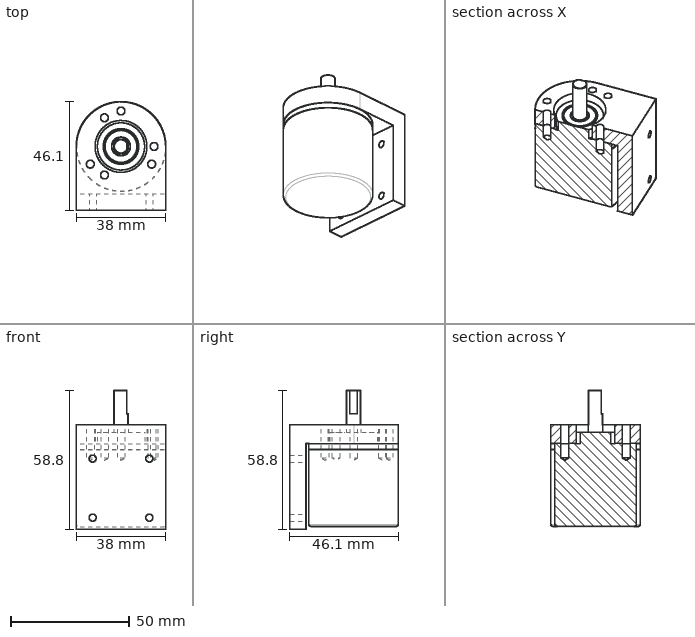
import cadquery as cq
import math

WIDTH = 38.0
END_RADIUS = WIDTH / 2
AXIS_TO_FRONT = 27.05
BRACKET_HEIGHT = 44.35
PLATE_THICKNESS = 8.0
WALL_THICKNESS = 7.0
BORE_RADIUS = 11.0

WALL_HOLE_DIAMETER = 3.0
WALL_HOLE_SPACING_X = 24.0
WALL_HOLE_LOW_Z = 5.0
WALL_HOLE_SPACING_Z = 25.0

MOUNT_HOLE_DIAMETER = 3.3
MOUNT_HOLE_DEPTH = 6.0
DRILL_POINT_ANGLE = 118
MOUNT_PATTERNS = [
    (14.0, 0),
    (15.0, 90),
]
HOLES_PER_PATTERN = 3

MOTOR_RADIUS = END_RADIUS
MOTOR_BOTTOM_Z = 1.25
MOTOR_TOP_Z = BRACKET_HEIGHT - PLATE_THICKNESS
MOTOR_BOTTOM_FILLET = 1.0
EDGE_CHAMFER = 0.2
FLANGE_THICKNESS = 2.45
BOSS_RADIUS = 10.0
BOSS_HEIGHT = 4.9
BOSS_TOP_Z = MOTOR_TOP_Z + BOSS_HEIGHT

GROOVE_DEPTH = 0.1
OUTER_GROOVE_RADII = (6.75, 7.5)
SHAFT_GROOVE_RADII = (3.0, 4.0)

SHAFT_RADIUS = 3.0
SHAFT_TOP_Z = 58.8
SHAFT_CHAMFER = 0.2
FLAT_X = 2.5
FLAT_LENGTH = 9.9


def cylinder(radius, bottom_z, top_z):
    return cq.Workplane("XY", origin=(0, 0, bottom_z)).circle(radius).extrude(top_z - bottom_z)


def mount_holes():
    """Blind drilled holes with conical ends, starting at the top of the plate."""
    radius = MOUNT_HOLE_DIAMETER / 2
    bottom_z = MOTOR_TOP_Z - MOUNT_HOLE_DEPTH
    tip_z = bottom_z - radius / math.tan(math.radians(DRILL_POINT_ANGLE / 2))
    drill = (
        cq.Workplane("XZ")
        .polyline([(0, tip_z), (radius, bottom_z), (radius, BRACKET_HEIGHT), (0, BRACKET_HEIGHT)])
        .close()
        .revolve(360, (0, 0, 0), (0, 1, 0))
    )
    holes = cq.Workplane("XY")
    for pitch_radius, first_angle in MOUNT_PATTERNS:
        for index in range(HOLES_PER_PATTERN):
            angle = math.radians(first_angle + index * 360 / HOLES_PER_PATTERN)
            place = (pitch_radius * math.cos(angle), pitch_radius * math.sin(angle), 0)
            holes = holes.add(drill.translate(place))
    return holes.combine()


def make_bracket():
    plate = (
        cq.Workplane("XY", origin=(0, 0, MOTOR_TOP_Z))
        .moveTo(-END_RADIUS, -AXIS_TO_FRONT)
        .lineTo(END_RADIUS, -AXIS_TO_FRONT)
        .lineTo(END_RADIUS, 0)
        .threePointArc((0, END_RADIUS), (-END_RADIUS, 0))
        .close()
        .extrude(PLATE_THICKNESS)
    )
    wall = cq.Workplane("XY").box(WIDTH, WALL_THICKNESS, BRACKET_HEIGHT, centered=(True, False, False))
    bracket = plate.union(wall.translate((0, -AXIS_TO_FRONT, 0)))

    wall_holes = (
        cq.Workplane("XZ", origin=(0, -AXIS_TO_FRONT, WALL_HOLE_LOW_Z + WALL_HOLE_SPACING_Z / 2))
        .rarray(WALL_HOLE_SPACING_X, WALL_HOLE_SPACING_Z, 2, 2)
        .circle(WALL_HOLE_DIAMETER / 2)
        .extrude(-WALL_THICKNESS)
    )
    bore = cylinder(BORE_RADIUS, MOTOR_TOP_Z, BRACKET_HEIGHT)
    return bracket.cut(wall_holes).cut(bore).cut(mount_holes())


def ring_groove(radii):
    """Shallow ring with walls sloped at 45 degrees, widest at the top of the boss."""
    inner, outer = radii
    floor_z = BOSS_TOP_Z - GROOVE_DEPTH
    return (
        cq.Workplane("XZ")
        .moveTo(inner, BOSS_TOP_Z)
        .lineTo(outer, BOSS_TOP_Z)
        .lineTo(outer - GROOVE_DEPTH, floor_z)
        .lineTo(inner + GROOVE_DEPTH, floor_z)
        .close()
        .revolve(360, (0, 0, 0), (0, 1, 0))
    )


def make_shaft():
    shaft = cylinder(SHAFT_RADIUS, MOTOR_TOP_Z, SHAFT_TOP_Z).faces(">Z").chamfer(SHAFT_CHAMFER)
    flat = cq.Workplane("XY").box(SHAFT_RADIUS, 2 * SHAFT_RADIUS, FLAT_LENGTH, centered=(False, True, False))
    return shaft.cut(flat.translate((FLAT_X, 0, SHAFT_TOP_Z - FLAT_LENGTH)))


def make_motor():
    flange_bottom_z = MOTOR_TOP_Z - FLANGE_THICKNESS
    housing = cylinder(MOTOR_RADIUS, MOTOR_BOTTOM_Z, flange_bottom_z)
    housing = housing.faces("<Z").fillet(MOTOR_BOTTOM_FILLET).faces(">Z").chamfer(EDGE_CHAMFER)
    flange = cylinder(MOTOR_RADIUS, flange_bottom_z, MOTOR_TOP_Z).faces(">Z").chamfer(EDGE_CHAMFER)
    boss = cylinder(BOSS_RADIUS, MOTOR_TOP_Z, BOSS_TOP_Z)
    motor = housing.union(flange).union(boss)
    for radii in (OUTER_GROOVE_RADII, SHAFT_GROOVE_RADII):
        motor = motor.cut(ring_groove(radii))
    return motor.cut(mount_holes()).union(make_shaft())


bracket = make_bracket()
motor = make_motor()

result = cq.Compound.makeCompound([bracket.val(), motor.val()])